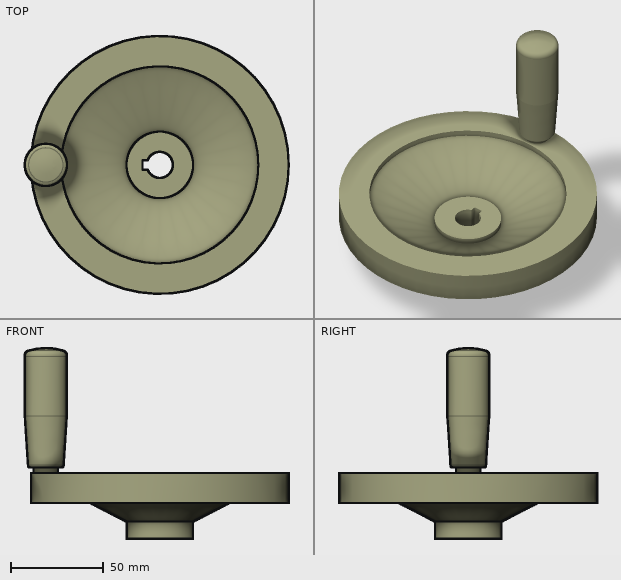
import cadquery as cq

rim_diameter = 140.0
rim_radius = rim_diameter / 2
rim_bottom = 19.3
rim_top = 35.8
hub_radius = 18.0
hub_top = 18.6
dish_radius = 53.5
dish_wall_depth = 3.6
dish_floor_at_hub = 15.5
cone_bottom = 9.3
cone_outer_radius = 37.5

bore_radius = 7.0
key_width = 5.0
key_reach = 9.3

handle_radius = 11.5
overall_length = 143.2
handle_offset = overall_length - rim_radius - handle_radius
neck_radius = 6.7
neck_top = 38.7
grip_bottom_radius = 9.7
grip_bottom_round = 1.3
taper_top = 66.6
shoulder_bottom = 99.0
shoulder_top = 102.1
dome_radius = 9.3
handle_top = 103.5

diagonal = 0.5**0.5


def make_wheel():
    """Rim, conical web and hub as one turned profile."""
    profile = (
        cq.Workplane("XZ")
        .moveTo(0, 0)
        .lineTo(hub_radius, 0)
        .lineTo(hub_radius, cone_bottom)
        .lineTo(cone_outer_radius, rim_bottom)
        .lineTo(rim_radius, rim_bottom)
        .lineTo(rim_radius, rim_top)
        .lineTo(dish_radius, rim_top)
        .lineTo(dish_radius, rim_top - dish_wall_depth)
        .lineTo(hub_radius, dish_floor_at_hub)
        .lineTo(hub_radius, hub_top)
        .lineTo(0, hub_top)
        .close()
    )
    return profile.revolve(360, (0, 0, 0), (0, 1, 0))


def make_bore():
    """Through bore with a keyway on the -X side."""
    bore = cq.Workplane("XY").circle(bore_radius).extrude(hub_top)
    keyway = (
        cq.Workplane("XY")
        .center(-key_reach / 2, 0)
        .rect(key_reach, key_width)
        .extrude(hub_top)
    )
    return bore.union(keyway)


def make_handle():
    """Neck and tapered grip with a rounded shoulder and a shallow domed end."""
    shoulder_width = handle_radius - dome_radius
    shoulder_height = shoulder_top - shoulder_bottom
    shoulder_middle = (
        dome_radius + shoulder_width * diagonal,
        shoulder_bottom + shoulder_height * diagonal,
    )
    dome_height = handle_top - shoulder_top
    sphere_radius = (dome_radius**2 + dome_height**2) / (2 * dome_height)
    middle_radius = dome_radius / 2
    middle_height = handle_top - sphere_radius + (sphere_radius**2 - middle_radius**2) ** 0.5
    round_middle = (
        grip_bottom_radius - grip_bottom_round * (1 - diagonal),
        neck_top + grip_bottom_round * (1 - diagonal),
    )
    profile = (
        cq.Workplane("XZ")
        .moveTo(0, rim_bottom)
        .lineTo(neck_radius, rim_bottom)
        .lineTo(neck_radius, neck_top)
        .lineTo(grip_bottom_radius - grip_bottom_round, neck_top)
        .threePointArc(round_middle, (grip_bottom_radius, neck_top + grip_bottom_round))
        .lineTo(handle_radius, taper_top)
        .lineTo(handle_radius, shoulder_bottom)
        .threePointArc(shoulder_middle, (dome_radius, shoulder_top))
        .threePointArc((middle_radius, middle_height), (0, handle_top))
        .close()
    )
    return profile.revolve(360, (0, 0, 0), (0, 1, 0)).translate((-handle_offset, 0, 0))


result = make_wheel().cut(make_bore()).union(make_handle())